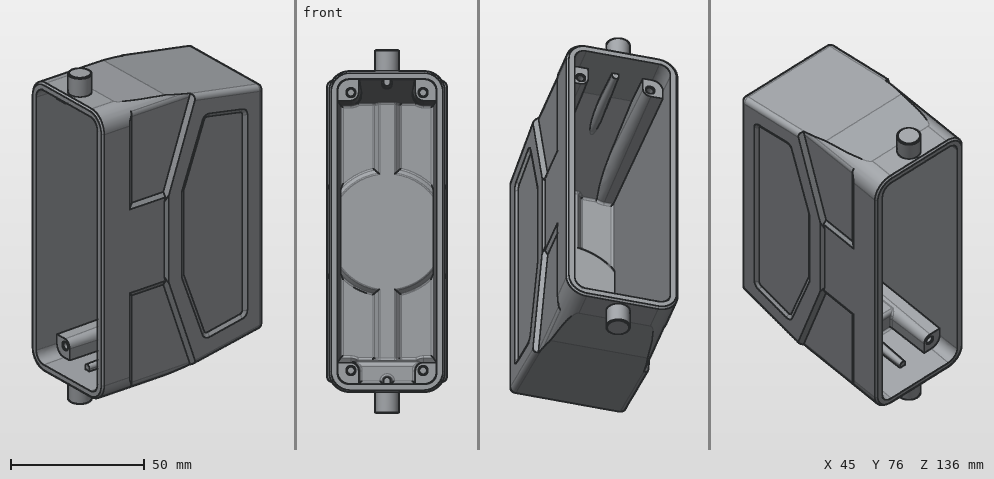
import math

import cadquery as cq


DEPTH = 76.0
PAD_HALF_WIDTH = 45.0 / 2
BODY_HALF_WIDTH = 43.4 / 2
RECESS_HALF_WIDTH = 41.3 / 2
BODY_HALF_HEIGHT = 120.2 / 2
BODY_CORNER_RADIUS = 7.8
RECESS_EDGE_RADIUS = 3.0
BACK_EDGE_RADIUS = 2.2
RIM_CHAMFER = 0.8

STRAIGHT_DEPTH = 11.25
GENTLE_DEPTH = 32.0
GENTLE_SLOPE = math.radians(5)
STEEP_SLOPE = math.radians(10)

PAD_TOP_MIDDLE_Y = 30.9
PAD_TOP_MIDDLE_HALF_Z = 18.3
PAD_SLANT = math.radians(19)
PAD_SLANT_RUN = 1.6
PAD_MIDDLE_RUN = 3.6
BAND_DEPTH = 12.8
BLOCK_HALF_HEIGHT = 17.4
BAND_WALL_RUN = 1.9

PANEL_DEPTH = 1.0
PANEL_WALL_RUN = 1.7
PANEL_BACK_Y = 68.2
PANEL_BACK_HALF_Z = 43.2
PANEL_FRONT_Y = 36.9
PANEL_FRONT_HALF_Z = 17.6
PANEL_CORNER_Y = 47.7
PANEL_CORNER_HALF_Z = 47.0
PANEL_CORNER_RADIUS = 3.0

CAVITY_HALF_WIDTH = 18.6
CAVITY_HALF_HEIGHT = 57.1
CAVITY_CORNER_RADIUS = 4.4
CAVITY_DRAFT = 1.0
CAVITY_DEPTH = 73.5
END_SLOPE_START = 21.0
END_FLOOR_HALF_HEIGHT = 48.0
STEP_DEPTH = 28.0
STEP_HALF_HEIGHT = 48.8
STEP_ROUNDING = 1.6
STEP_CORNER_RADIUS = 0.8
FLOOR_RADIUS = 0.9

RAISED_HEIGHT = 2.2
RAISED_WALL_RUN = 1.9
RAISED_EDGE_RADIUS = 0.7
RAISED_TOP_RADIUS = 22.0
RAISED_TOP_HALF_WIDTH = 3.1

POST_FACE_Y = 9.7
POST_INNER_X = 10.65
POST_INNER_Z = 49.0
POST_CORNER_RADIUS = 3.0
POST_DRAFT = 1.6
SCREW_X = 13.5
SCREW_Z = 52.0
SCREW_DIAMETER = 2.8
SCREW_CHAMFER = 0.4
SCREW_CHAMFER_ANGLE = 45
SCREW_DEPTH = 15.0
RIB_RADIUS = 1.3
RIB_CENTRE_Z = 55.8
RIB_DRAFT = 2.0

PIN_DIAMETER = 9.0
PIN_Y = 6.2
PIN_HALF_SPAN = 136.0 / 2
PIN_END_CHAMFER = 0.4

BOTH_SIDES = (-1, 1)

NEAR = 0.1
POST_OVERLAP = 5.0


def slab_selector(y_min, y_max, z_min=-DEPTH, z_max=DEPTH):
    """Select what is centred between two Y values and two Z values."""
    return cq.selectors.BoxSelector((-DEPTH, y_min, z_min), (DEPTH, y_max, z_max))


def prism_along_x(points, half_width):
    """Prism of a (Y, Z) outline, centred on X = 0."""
    return cq.Workplane("YZ").polyline(points).close().extrude(half_width, both=True)


def mirrored_outline(upper_points):
    """Close a (Y, Z) outline whose upper half is given from front to back."""
    return upper_points + [(y, -z) for y, z in reversed(upper_points)]


def rounded_block(half_width, half_height, radius, draft=0.0, depth=DEPTH):
    """Round-cornered block standing on the rim plane and running to +Y."""
    outline = cq.Sketch().rect(2 * half_height, 2 * half_width).vertices().fillet(radius)
    return cq.Workplane("ZX").placeSketch(outline).extrude(depth, taper=draft)


def end_profile():
    gentle_z = BODY_HALF_HEIGHT - (GENTLE_DEPTH - STRAIGHT_DEPTH) * math.tan(GENTLE_SLOPE)
    back_z = gentle_z - (DEPTH - GENTLE_DEPTH) * math.tan(STEEP_SLOPE)
    return mirrored_outline([
        (0, BODY_HALF_HEIGHT),
        (STRAIGHT_DEPTH, BODY_HALF_HEIGHT),
        (GENTLE_DEPTH, gentle_z),
        (DEPTH, back_z),
    ])


def make_envelope():
    """Full-width housing with its back and steep end edges rounded."""
    envelope = prism_along_x(end_profile(), PAD_HALF_WIDTH)
    rear_edges = slab_selector(GENTLE_DEPTH + NEAR, DEPTH + NEAR)
    return envelope.edges(rear_edges).fillet(BACK_EDGE_RADIUS)


def make_core(body):
    """Narrow body between the side recesses, its long edges blended."""
    slab = cq.Workplane("XY").box(
        2 * RECESS_HALF_WIDTH, DEPTH, 2 * BODY_HALF_HEIGHT, centered=(True, False, True)
    )
    core = body.intersect(slab)
    outer_edges = core.edges("|Y").filter(
        lambda edge: abs(abs(edge.Center().x) - RECESS_HALF_WIDTH) < NEAR
    )
    return outer_edges.fillet(RECESS_EDGE_RADIUS)


def rim_band_outline(run):
    """T-shaped (Y, Z) outline of rim band and middle block, grown by run."""
    band_y = BAND_DEPTH + run
    block_z = BLOCK_HALF_HEIGHT + run
    return mirrored_outline([
        (0, BODY_HALF_HEIGHT),
        (band_y, BODY_HALF_HEIGHT),
        (band_y, block_z),
        (GENTLE_DEPTH, block_z),
    ])


def pad_outline(slant_shift, middle_shift):
    """(Y, Z) outline of the side pad; the shifts move its front edges to -Y."""
    middle_y = PAD_TOP_MIDDLE_Y - middle_shift
    top_rise = BODY_HALF_HEIGHT - PAD_TOP_MIDDLE_HALF_Z
    top_y = PAD_TOP_MIDDLE_Y + top_rise * math.tan(PAD_SLANT) - slant_shift
    middle_z = BODY_HALF_HEIGHT - (top_y - middle_y) / math.tan(PAD_SLANT)
    return mirrored_outline([
        (middle_y, middle_z),
        (top_y, BODY_HALF_HEIGHT),
        (DEPTH, BODY_HALF_HEIGHT),
    ])


def sloped_relief(base_points, top_points, top_half_width):
    """Raised areas on both sides, sloping from the recess face up to their top."""
    right = (
        cq.Workplane("YZ", origin=(RECESS_HALF_WIDTH, 0, 0))
        .polyline(base_points).close()
        .workplane(offset=top_half_width - RECESS_HALF_WIDTH)
        .polyline(top_points).close()
        .loft(ruled=True)
    )
    foot = prism_along_x(base_points, RECESS_HALF_WIDTH)
    return foot.union(right).union(right.mirror("YZ"))


def make_panel():
    """Shallow panel with sloped walls in the +X pad."""
    outline = [
        (PANEL_FRONT_Y, PANEL_FRONT_HALF_Z),
        (PANEL_CORNER_Y, PANEL_CORNER_HALF_Z),
        (PANEL_BACK_Y, PANEL_BACK_HALF_Z),
    ]
    wall_angle = math.degrees(math.atan(PANEL_WALL_RUN / PANEL_DEPTH))
    rounded_corners = slab_selector(PANEL_CORNER_Y - NEAR, PANEL_BACK_Y + NEAR)
    blank = prism_along_x(mirrored_outline(outline), PAD_HALF_WIDTH)
    blank = blank.edges("|X").edges(rounded_corners).fillet(PANEL_CORNER_RADIUS)
    face_wire = blank.faces(">X").wires().val()
    return (
        cq.Workplane("ZY", origin=(PAD_HALF_WIDTH, 0, 0))
        .add(face_wire).toPending()
        .extrude(PANEL_DEPTH, taper=wall_angle)
    )


def make_shell():
    envelope = make_envelope()
    body = rounded_block(BODY_HALF_WIDTH, BODY_HALF_HEIGHT, BODY_CORNER_RADIUS)
    band = sloped_relief(
        rim_band_outline(BAND_WALL_RUN), rim_band_outline(0), BODY_HALF_WIDTH
    ).intersect(body)
    pad = sloped_relief(
        pad_outline(PAD_SLANT_RUN, PAD_MIDDLE_RUN), pad_outline(0, 0), PAD_HALF_WIDTH
    )
    shell = make_core(body).union(band).union(pad).intersect(envelope)
    panel = make_panel()
    shell = shell.cut(panel).cut(panel.mirror("YZ"))
    return shell.faces("<Y").edges().chamfer(RIM_CHAMFER)


def make_raised_cross():
    """Round boss with a bar along Z, with sloped sides and a rounded top edge."""
    floor_y = CAVITY_DEPTH
    top_y = floor_y - RAISED_HEIGHT
    boss = (
        cq.Workplane("ZX", origin=(0, top_y, 0))
        .circle(RAISED_TOP_RADIUS)
        .workplane(offset=RAISED_HEIGHT)
        .circle(RAISED_TOP_RADIUS + RAISED_WALL_RUN)
        .loft(ruled=True)
    )
    base_half_width = RAISED_TOP_HALF_WIDTH + RAISED_WALL_RUN
    bar = (
        cq.Workplane("XY")
        .polyline([
            (-RAISED_TOP_HALF_WIDTH, top_y),
            (RAISED_TOP_HALF_WIDTH, top_y),
            (base_half_width, floor_y),
            (-base_half_width, floor_y),
        ])
        .close()
        .extrude(CAVITY_HALF_HEIGHT, both=True)
    )
    cross = boss.union(bar)
    end_z = CAVITY_HALF_HEIGHT - NEAR
    top_edges = slab_selector(top_y - NEAR, top_y + NEAR, -end_z, end_z)
    return cross.edges(top_edges).fillet(RAISED_EDGE_RADIUS)


def make_post(side_x, side_z):
    """Drafted corner post, widening toward the cavity floor."""
    outer_x = BODY_HALF_WIDTH + POST_OVERLAP
    outer_z = BODY_HALF_HEIGHT + POST_OVERLAP
    size_x = outer_x - POST_INNER_X
    size_z = outer_z - POST_INNER_Z
    outline = cq.Sketch().rect(size_z, size_x).vertices().fillet(POST_CORNER_RADIUS)
    centre = (side_x * (outer_x + POST_INNER_X) / 2, POST_FACE_Y,
              side_z * (outer_z + POST_INNER_Z) / 2)
    return (
        cq.Workplane("ZX", origin=centre)
        .placeSketch(outline)
        .extrude(DEPTH - POST_FACE_Y, taper=-POST_DRAFT)
    )


def make_rib(side_z):
    """Round-nosed keying rib on an end wall."""
    length = 2 * (BODY_HALF_HEIGHT - RIB_CENTRE_Z + RIB_RADIUS)
    centre_z = side_z * (RIB_CENTRE_Z - RIB_RADIUS + length / 2)
    return (
        cq.Workplane("ZX", origin=(0, POST_FACE_Y, centre_z))
        .slot2D(length, 2 * RIB_RADIUS)
        .extrude(DEPTH - POST_FACE_Y, taper=-RIB_DRAFT)
    )


def round_step_floor(cavity):
    """Blend the step floor into the posts, the rib and the end wall."""
    below_rounding = slab_selector(
        STEP_DEPTH - NEAR,
        STEP_DEPTH + NEAR,
        z_max=-STEP_HALF_HEIGHT - STEP_ROUNDING - NEAR,
    )
    return cavity.edges(below_rounding).fillet(STEP_CORNER_RADIUS)


def round_raised_ends(cavity):
    """Blend both ends of the raised bar into the end walls."""
    top_y = CAVITY_DEPTH - RAISED_HEIGHT
    end_edges = cavity.edges("|X").filter(
        lambda edge: abs(edge.Center().y - top_y) < NEAR
    )
    return end_edges.fillet(FLOOR_RADIUS)


def make_cavity():
    cavity = rounded_block(
        CAVITY_HALF_WIDTH, CAVITY_HALF_HEIGHT, CAVITY_CORNER_RADIUS, CAVITY_DRAFT, CAVITY_DEPTH
    )
    side_profile = prism_along_x([
        (0, CAVITY_HALF_HEIGHT),
        (END_SLOPE_START, CAVITY_HALF_HEIGHT),
        (CAVITY_DEPTH, END_FLOOR_HALF_HEIGHT),
        (CAVITY_DEPTH, -END_FLOOR_HALF_HEIGHT),
        (STEP_DEPTH, -STEP_HALF_HEIGHT),
        (STEP_DEPTH, -CAVITY_HALF_HEIGHT),
        (0, -CAVITY_HALF_HEIGHT),
    ], BODY_HALF_WIDTH)
    step_edge = cq.selectors.NearestToPointSelector((0, STEP_DEPTH, -STEP_HALF_HEIGHT))
    side_profile = side_profile.edges(step_edge).fillet(STEP_ROUNDING)
    cavity = cavity.intersect(side_profile)
    for side_z in BOTH_SIDES:
        cavity = cavity.cut(make_rib(side_z))
        for side_x in BOTH_SIDES:
            cavity = cavity.cut(make_post(side_x, side_z))
    cavity = round_step_floor(cavity)
    cavity = cavity.cut(make_raised_cross())
    cavity = cavity.faces(">Y").edges().fillet(FLOOR_RADIUS)
    return round_raised_ends(cavity)


def make_screw_holes():
    spots = [(sz * SCREW_Z, sx * SCREW_X) for sz in BOTH_SIDES for sx in BOTH_SIDES]
    centres = cq.Workplane("ZX", origin=(0, POST_FACE_Y, 0)).pushPoints(spots)
    countersinks = (
        centres
        .circle(SCREW_DIAMETER / 2 + SCREW_CHAMFER)
        .extrude(SCREW_CHAMFER, taper=SCREW_CHAMFER_ANGLE)
    )
    return centres.circle(SCREW_DIAMETER / 2).extrude(SCREW_DEPTH).union(countersinks)


def make_pin():
    """Upper locking pin, rooted in the end wall."""
    root_z = (CAVITY_HALF_HEIGHT + BODY_HALF_HEIGHT) / 2
    return (
        cq.Workplane("XY", origin=(0, PIN_Y, root_z))
        .circle(PIN_DIAMETER / 2)
        .extrude(PIN_HALF_SPAN - root_z)
        .faces(">Z").chamfer(PIN_END_CHAMFER)
    )


pin = make_pin()
result = (
    make_shell()
    .cut(make_cavity())
    .cut(make_screw_holes())
    .union(pin)
    .union(pin.mirror("XY"))
)